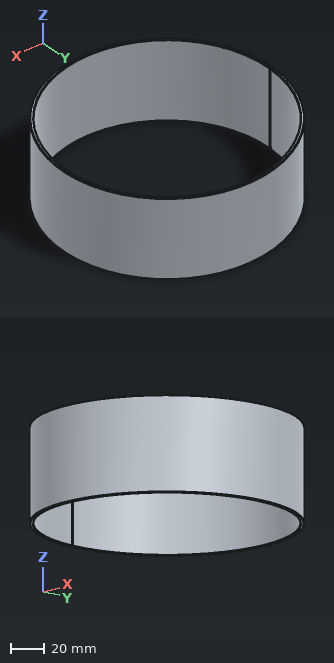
import cadquery as cq

outer_diameter = 165.0
wall = 2.5
height = 60.0
rim_chamfer = 0.5
gap_angle = 1.0

outer_radius = outer_diameter / 2
wall_middle_radius = outer_radius - wall / 2

section = (
    cq.Sketch()
    .push([(-wall_middle_radius, 0)])
    .rect(wall, height)
    .reset()
    .vertices()
    .chamfer(rim_chamfer)
)

result = (
    cq.Workplane("XZ")
    .placeSketch(section)
    .revolve(360 - gap_angle, (0, 0, 0), (0, 1, 0))
)